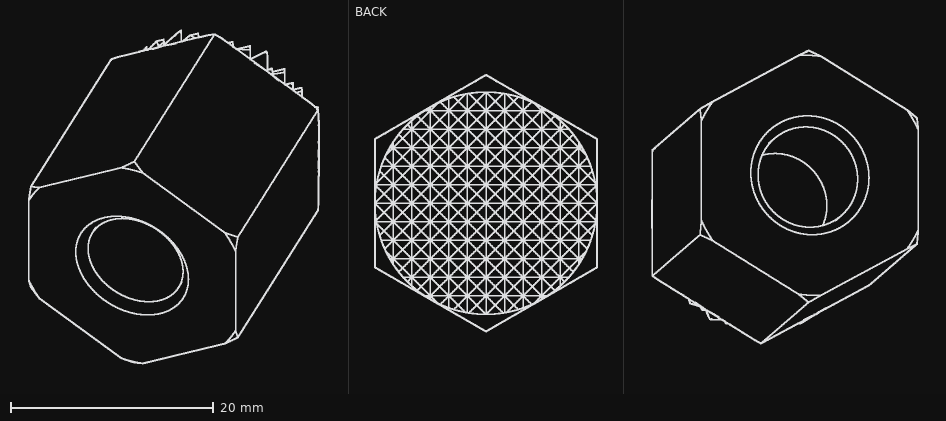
import cadquery as cq
import math

HEX_SIDES = 6
HEX_STEP = 2 * math.pi / HEX_SIDES
CORNER_RADIUS = 12.7
ACROSS_FLATS = 2 * CORNER_RADIUS * math.cos(HEX_STEP / 2)
TOTAL_LENGTH = 25.0
BODY_LENGTH = 22.5

FRONT_CHAMFER_RADIUS = 12.1
FRONT_CHAMFER_LENGTH = 0.6
REAR_CHAMFER_RADIUS = 12.3
REAR_CHAMFER_LENGTH = 0.13

HOLE_RADIUS = 10.1 / 2
MOUTH_RADIUS = 12.0 / 2
HOLE_DEPTH = 14.99
DRILL_POINT_ANGLE = 118.0

TEETH_ACROSS = 12
TOOTH_PITCH = ACROSS_FLATS / TEETH_ACROSS
TOOTH_HEIGHT = 2.29

FRONT_Y = -TOTAL_LENGTH / 2
BODY_END_Y = FRONT_Y + BODY_LENGTH
TIP_Y = FRONT_Y + TOTAL_LENGTH
VALLEY_Y = TIP_Y - TOOTH_HEIGHT


def revolve_about_axis(profile):
    """Turn a closed (radius, y) profile around the Y axis."""
    return cq.Workplane("XY").polyline(profile).close().revolve(360, (0, 0), (0, 1))


def extrude_to_rear(sketch, length):
    """Extrude toward +Y a sketch on an XZ workplane, whose normal is -Y."""
    return sketch.extrude(-length)


def hexagonal_body():
    corners = [
        (CORNER_RADIUS * math.sin(i * HEX_STEP), CORNER_RADIUS * math.cos(i * HEX_STEP))
        for i in range(HEX_SIDES)
    ]
    outline = cq.Workplane("XZ", origin=(0, FRONT_Y, 0)).polyline(corners).close()
    corner_trim = revolve_about_axis([
        (0, FRONT_Y),
        (FRONT_CHAMFER_RADIUS, FRONT_Y),
        (CORNER_RADIUS, FRONT_Y + FRONT_CHAMFER_LENGTH),
        (CORNER_RADIUS, BODY_END_Y - REAR_CHAMFER_LENGTH),
        (REAR_CHAMFER_RADIUS, BODY_END_Y),
        (0, BODY_END_Y),
    ])
    return extrude_to_rear(outline, BODY_LENGTH).intersect(corner_trim)


def blind_hole():
    mouth_depth = MOUTH_RADIUS - HOLE_RADIUS
    point_depth = HOLE_RADIUS / math.tan(math.radians(DRILL_POINT_ANGLE / 2))
    return revolve_about_axis([
        (0, FRONT_Y),
        (MOUTH_RADIUS, FRONT_Y),
        (HOLE_RADIUS, FRONT_Y + mouth_depth),
        (HOLE_RADIUS, FRONT_Y + HOLE_DEPTH),
        (0, FRONT_Y + HOLE_DEPTH + point_depth),
    ])


def v_groove(valley_x):
    """V groove running along Z, with its bottom edge at valley_x."""
    half_width = TOOTH_PITCH / 2
    section = [
        (valley_x, VALLEY_Y),
        (valley_x + half_width, TIP_Y),
        (valley_x - half_width, TIP_Y),
    ]
    return cq.Workplane("XY").polyline(section).close().extrude(CORNER_RADIUS, both=True)


def toothed_pad():
    """Round pad cut by two crossing sets of grooves into a field of pyramids."""
    disc = cq.Workplane("XZ", origin=(0, BODY_END_Y, 0)).circle(ACROSS_FLATS / 2)
    pad = extrude_to_rear(disc, TIP_Y - BODY_END_Y)
    for i in range(TEETH_ACROSS + 1):
        groove = v_groove((i - TEETH_ACROSS / 2) * TOOTH_PITCH)
        crossing_groove = groove.rotate((0, 0, 0), (0, 1, 0), 90)
        pad = pad.cut(groove).cut(crossing_groove)
    return pad


result = hexagonal_body().cut(blind_hole()).union(toothed_pad())